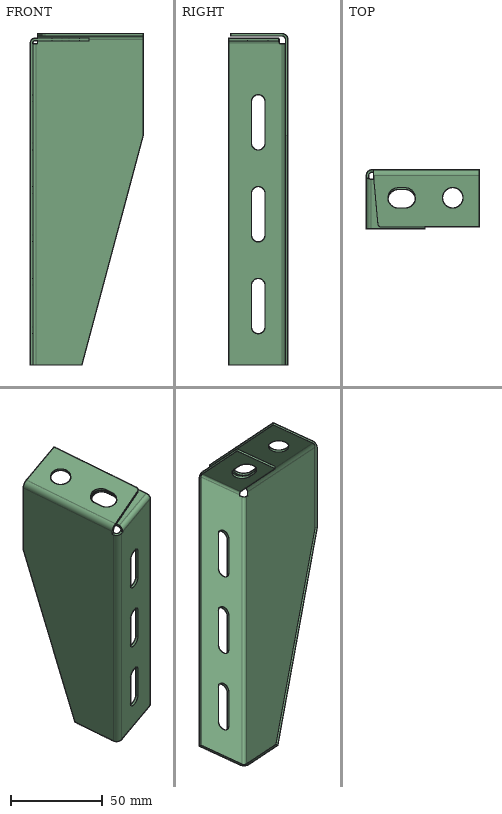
import cadquery as cq

length = 61.5
depth = 32.3
height = 180.5
thickness = 1.5
bend_radius = 3.2
tab_bend_radius = 2.7

web_bottom_length = 28.2
taper_start_z = 124.9

relief_x = 4.0
relief_z = height - 5.6
relief_depth = 4.5

top_depth = 31.2
top_end_x = 6.5
top_corner_radius = 1.8

tab_gap = 1.0
tab_length = 32.1
tab_setback = 5.2
tab_top = height - thickness - tab_gap

hole_diameter = 11.0
hole_x = 47.1
hole_y = -15.3
top_slot_length = 14.8
top_slot_x = 19.3
tab_slot_y = -16.5
side_slot_length = 30.0
side_slot_width = 7.2
side_slot_pitch = 50.0
side_slot_middle_z = 82.1


def bent_sheet(plane, first_leg, second_leg, outer_radius, extrusion):
    """L-shaped sheet with its outer corner at the plane origin and legs along its local axes."""
    inner_radius = outer_radius - thickness
    diagonal = 0.5 ** 0.5
    outer_mid = outer_radius * (1 - diagonal)
    inner_mid = outer_radius - inner_radius * diagonal
    return (
        cq.Workplane(plane)
        .moveTo(first_leg, 0)
        .lineTo(outer_radius, 0)
        .threePointArc((outer_mid, outer_mid), (0, outer_radius))
        .lineTo(0, second_leg)
        .lineTo(thickness, second_leg)
        .lineTo(thickness, outer_radius)
        .threePointArc((inner_mid, inner_mid), (outer_radius, thickness))
        .lineTo(first_leg, thickness)
        .close()
        .extrude(extrusion)
    )


def make_web_and_side():
    """Web and side flange joined by a vertical bend, with the web taper and corner relief."""
    plane = cq.Plane(origin=(0, 0, 0), xDir=(1, 0, 0), normal=(0, 0, -1))
    sheet = bent_sheet(plane, length, depth, bend_radius, -height)
    web_outline = (
        cq.Workplane("XZ")
        .polyline([
            (0, 0),
            (web_bottom_length, 0),
            (length, taper_start_z),
            (length, height - bend_radius),
            (relief_x, height - bend_radius),
            (relief_x, relief_z),
            (0, relief_z),
        ])
        .close()
        .extrude(relief_depth)
    )
    side_envelope = (
        cq.Workplane("XY", origin=(0, -depth, 0))
        .box(relief_x, depth - relief_depth, tab_top - tab_bend_radius, centered=False)
    )
    return sheet.intersect(web_outline.union(side_envelope))


def make_top_flange():
    """Top flange and its bend, with a slanted end and a rounded free corner."""
    plane = cq.Plane(origin=(0, 0, height), xDir=(0, -1, 0), normal=(1, 0, 0))
    sheet = bent_sheet(plane, top_depth, height - relief_z, bend_radius, length)
    outline = (
        cq.Workplane("XY", origin=(0, 0, height - bend_radius))
        .polyline([
            (relief_x, 0),
            (length, 0),
            (length, -top_depth),
            (top_end_x, -top_depth),
            (relief_x, -bend_radius),
        ])
        .close()
        .extrude(bend_radius)
        .edges(cq.NearestToPointSelector((top_end_x, -top_depth, height - bend_radius / 2)))
        .fillet(top_corner_radius)
    )
    return sheet.intersect(outline)


def make_tab():
    """Support tab bent from the top of the side flange, with a short overlap onto the flange."""
    plane = cq.Plane(origin=(0, -depth, tab_top), xDir=(1, 0, 0), normal=(0, 1, 0))
    flange_leg = tab_top - relief_z + tab_bend_radius
    tab = bent_sheet(plane, tab_length, flange_leg, tab_bend_radius, depth - relief_depth)
    edge_cutter = (
        cq.Workplane("XY", origin=(0, 0, relief_z))
        .polyline([
            (0, -relief_depth),
            (tab_bend_radius, -tab_setback),
            (tab_length, -tab_setback),
            (tab_length, 0),
            (0, 0),
        ])
        .close()
        .extrude(tab_top - relief_z)
    )
    return tab.cut(edge_cutter)


def slot_cutter(y, z0, z1):
    """Vertical cutter for the slot in the top flange or the tab."""
    return (
        cq.Workplane("XY", origin=(top_slot_x, y, z0))
        .slot2D(top_slot_length, hole_diameter)
        .extrude(z1 - z0)
    )


def cut_top_openings(body):
    """Round hole and slot in the top flange, and a matching slot in the tab."""
    split_z = tab_top + tab_gap / 2
    hole = (
        cq.Workplane("XY", origin=(hole_x, hole_y, split_z))
        .circle(hole_diameter / 2)
        .extrude(height - split_z)
    )
    top_slot = slot_cutter(hole_y, split_z, height)
    tab_slot = slot_cutter(tab_slot_y, tab_top - thickness, split_z)
    return body.cut(hole).cut(top_slot).cut(tab_slot)


def cut_side_slots(body):
    """Three upright slots through the side flange."""
    for step in (-1, 0, 1):
        slot = (
            cq.Workplane("YZ", origin=(0, -depth / 2, side_slot_middle_z + step * side_slot_pitch))
            .slot2D(side_slot_length, side_slot_width, 90)
            .extrude(thickness)
        )
        body = body.cut(slot)
    return body


body = make_web_and_side().union(make_top_flange()).union(make_tab())
result = cut_side_slots(cut_top_openings(body))